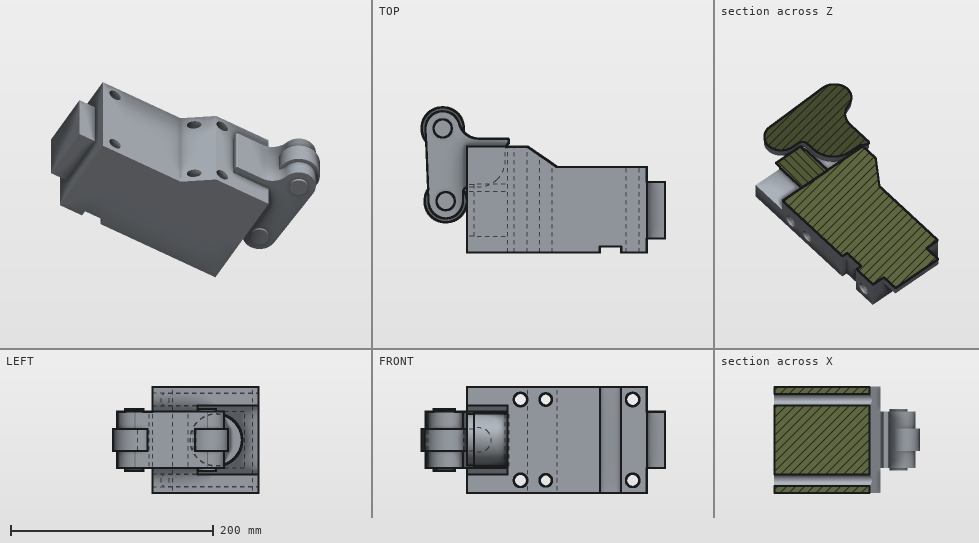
import cadquery as cq
import math


HOUSING_LENGTH = 178.0
HOUSING_SIZE = 105.0
LOW_TOP_Y = 85.0
SLOPE_START_X = 60.0
SLOPE_END_X = 89.0
GROOVE_START_X = 131.5
GROOVE_WIDTH = 21.0
GROOVE_DEPTH = 6.0
POCKET_LENGTH = 40.0
POCKET_WIDTH = 68.0
POCKET_ROOF_Y = 60.5
END_BLOCK_LENGTH = 18.0
END_BLOCK_SIZE = 56.0
HOLE_SPACING_Z = 80.0
HOLES = [(53.0, 13.0), (78.0, 12.0), (164.0, 13.0)]

AXIS_Y = 42.0
PLUNGER_RADIUS = 26.0
HEAD_RADIUS = 25.5
HEAD_LENGTH = 7.0

LEVER_WIDTH = 56.0
ROLLER_RADIUS = 21.0
ROLLER_WIDTH = 22.0
PIN_RADIUS = 9.0
PIN_LENGTH = 61.0
END_RADIUS = 17.0
LOWER_ROLLER = (-ROLLER_RADIUS, 51.0)
UPPER_ROLLER = (-24.0, 123.0)
FOOT_Y = 65.0
FOOT_FILLET = 6.0
BELLY_RADIUS = 26.0
ARM_TOP_Y = 113.0
ARM_FILLET = 20.0
TIP_X = 41.5
TIP_LOWER_Y = 108.5
TIP_ROUND = 2.0
LIP_START_Y = 100.0


def block(x_start, length, y_start, y_end, width):
    """Box between two Y levels, centred on Z = 0."""
    return cq.Workplane("XY").box(
        length, y_end - y_start, width, centered=(False, False, True)
    ).translate((x_start, y_start, 0))


def disc(center, radius, width):
    """Cylinder along Z, centred on Z = 0."""
    return cq.Workplane("XY").center(*center).circle(radius).extrude(width / 2, both=True)


def point_on_circle(center, radius, angle):
    return (center[0] + radius * math.cos(angle), center[1] + radius * math.sin(angle))


def make_housing():
    body = (
        cq.Workplane("XY")
        .polyline([
            (0, 0),
            (HOUSING_LENGTH, 0),
            (HOUSING_LENGTH, LOW_TOP_Y),
            (SLOPE_END_X, LOW_TOP_Y),
            (SLOPE_START_X, HOUSING_SIZE),
            (0, HOUSING_SIZE),
        ])
        .close()
        .extrude(HOUSING_SIZE / 2, both=True)
    )
    end_block = block(
        HOUSING_LENGTH, END_BLOCK_LENGTH,
        AXIS_Y - END_BLOCK_SIZE / 2, AXIS_Y + END_BLOCK_SIZE / 2, END_BLOCK_SIZE,
    )
    groove = block(GROOVE_START_X, GROOVE_WIDTH, 0, GROOVE_DEPTH, HOUSING_SIZE)
    pocket = block(0, POCKET_LENGTH, 0, POCKET_ROOF_Y, POCKET_WIDTH)
    lever_slot = block(0, POCKET_LENGTH, POCKET_ROOF_Y, HOUSING_SIZE, LEVER_WIDTH)
    body = body.union(end_block).cut(groove).cut(pocket).cut(lever_slot)

    for hole_x, diameter in HOLES:
        holes = (
            cq.Workplane("XZ")
            .pushPoints([(hole_x, -HOLE_SPACING_Z / 2), (hole_x, HOLE_SPACING_Z / 2)])
            .circle(diameter / 2)
            .extrude(-HOUSING_SIZE)
        )
        body = body.cut(holes)
    return body


def make_plunger():
    """Round plunger whose head is flush with the housing front."""
    return (
        cq.Workplane("YZ")
        .center(AXIS_Y, 0)
        .circle(HEAD_RADIUS)
        .extrude(HEAD_LENGTH)
        .faces(">X")
        .workplane()
        .circle(PLUNGER_RADIUS)
        .extrude(POCKET_LENGTH - HEAD_LENGTH)
    )


def make_lever_plate():
    rise_x = UPPER_ROLLER[0] - LOWER_ROLLER[0]
    rise_y = UPPER_ROLLER[1] - LOWER_ROLLER[1]
    back_angle = math.atan2(rise_y, rise_x) + math.pi / 2
    back_lower = point_on_circle(LOWER_ROLLER, END_RADIUS, back_angle)
    back_upper = point_on_circle(UPPER_ROLLER, END_RADIUS, back_angle)

    hollow_y = ARM_TOP_Y + ARM_FILLET
    hollow_drop = hollow_y - UPPER_ROLLER[1]
    hollow_x = UPPER_ROLLER[0] + math.sqrt((END_RADIUS + ARM_FILLET) ** 2 - hollow_drop ** 2)
    join_angle = math.atan2(hollow_drop, hollow_x - UPPER_ROLLER[0])
    join = point_on_circle(UPPER_ROLLER, END_RADIUS, join_angle)
    upper_middle = point_on_circle(UPPER_ROLLER, END_RADIUS, (back_angle + join_angle) / 2)
    hollow_middle_angle = (join_angle + math.pi + 1.5 * math.pi) / 2
    hollow_middle = point_on_circle((hollow_x, hollow_y), ARM_FILLET, hollow_middle_angle)

    front_x = LOWER_ROLLER[0] + END_RADIUS
    belly_end = (hollow_x + BELLY_RADIUS, FOOT_Y + BELLY_RADIUS)

    lip_start = (belly_end[0], LIP_START_Y)
    lip_reach = TIP_X - lip_start[0]
    lip_rise = TIP_LOWER_Y - LIP_START_Y
    lip_radius = (lip_reach ** 2 + lip_rise ** 2) / (2 * lip_reach)
    lip_center = (lip_start[0] + lip_radius, LIP_START_Y)
    lip_turn = math.asin(lip_rise / lip_radius)
    lip_middle = point_on_circle(lip_center, lip_radius, math.pi - lip_turn / 2)

    return (
        cq.Workplane("XY")
        .moveTo(*back_lower)
        .lineTo(*back_upper)
        .threePointArc(upper_middle, join)
        .threePointArc(hollow_middle, (hollow_x, ARM_TOP_Y))
        .lineTo(TIP_X - TIP_ROUND, ARM_TOP_Y)
        .tangentArcPoint((TIP_X, ARM_TOP_Y - TIP_ROUND), relative=False)
        .lineTo(TIP_X, TIP_LOWER_Y)
        .threePointArc(lip_middle, lip_start)
        .lineTo(*belly_end)
        .tangentArcPoint((hollow_x, FOOT_Y), relative=False)
        .lineTo(front_x + FOOT_FILLET, FOOT_Y)
        .tangentArcPoint((front_x, FOOT_Y - FOOT_FILLET), relative=False)
        .lineTo(front_x, LOWER_ROLLER[1])
        .threePointArc((LOWER_ROLLER[0], LOWER_ROLLER[1] - END_RADIUS), back_lower)
        .close()
        .extrude(LEVER_WIDTH / 2, both=True)
    )


def make_lever(plunger):
    lever = make_lever_plate()
    for center in (LOWER_ROLLER, UPPER_ROLLER):
        lever = lever.union(disc(center, ROLLER_RADIUS, ROLLER_WIDTH))
        lever = lever.union(disc(center, PIN_RADIUS, PIN_LENGTH))
    return lever.cut(plunger)


housing = make_housing()
plunger = make_plunger()
lever = make_lever(plunger)

result = cq.Compound.makeCompound([
    *housing.solids().vals(),
    *plunger.solids().vals(),
    *lever.solids().vals(),
])